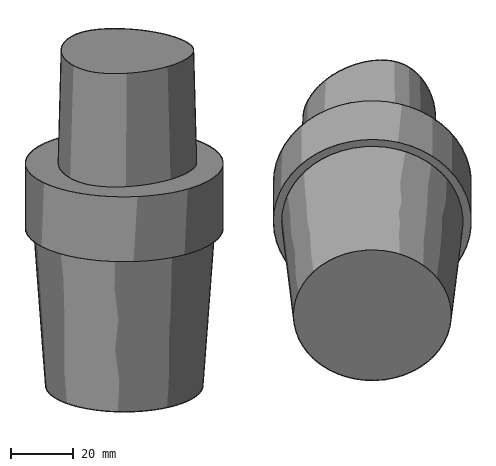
import cadquery as cq
import math

total_height = 113.0
shank_height = 53.1
collar_height = 21.9
collar_top = shank_height + collar_height
tip_height = total_height - collar_top

collar_diameter = 62.9
shank_bottom_diameter = 50.2
shank_top_diameter = 57.6

tip_base_diameter = 44.1
tip_taper = 1 / 20
tip_top_diameter = tip_base_diameter - tip_taper * tip_height
lobe_offset = 2.0
outline_points = 36


def lobed_outline(mean_diameter, height):
    """Closed three-lobed wire with one lobe, and its seam, pointing to -Y."""
    radius = mean_diameter / 2

    def point(angle):
        across = radius * math.sin(angle) - lobe_offset * math.sin(2 * angle)
        across -= lobe_offset / 2 * math.sin(4 * angle)
        along = radius * math.cos(angle) + lobe_offset * math.cos(2 * angle)
        along -= lobe_offset / 2 * math.cos(4 * angle)
        return cq.Vector(across, -along, height)

    points = [point(2 * math.pi * i / outline_points) for i in range(outline_points)]
    return cq.Wire.assembleEdges([cq.Edge.makeSpline(points, periodic=True)])


shank = cq.Workplane(cq.Solid.makeCone(shank_bottom_diameter / 2, shank_top_diameter / 2, shank_height))

collar = cq.Workplane("XY", origin=(0, 0, shank_height)).circle(collar_diameter / 2).extrude(collar_height)

tip = cq.Workplane(
    cq.Solid.makeLoft(
        [
            lobed_outline(tip_base_diameter, collar_top),
            lobed_outline(tip_top_diameter, total_height),
        ],
        True,
    )
)

result = shank.union(collar).union(tip)